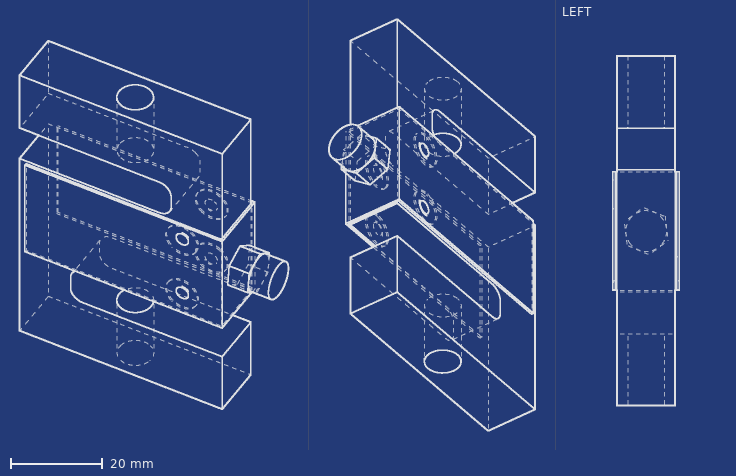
import cadquery as cq
import math

beam_length = 50.8
beam_height = 76.2
beam_thickness = 12.7
slot_height = 9.1
slot_corner_radius = 3.0
slot_depth = 38.0
arm_height = 15.7
arm_hole_diameter = 8.0

overall_thickness = 14.5
sheet_thickness = 0.5
cover_height = 25.8
cover_setback = 1.9

boss_diameter = 8.0
dimple_diameter = 7.5
dimple_inflection_diameter = 4.4
dimple_mouth_diameter = 3.1
boss_spacing = 16.0
boss_end_distance = 10.0

hex_width = 9.0
hex_length = 5.0
hex_vertex_angle = 83.0
barrel_diameter = 8.9
barrel_length = 5.0

beam_end = beam_length / 2
beam_face = beam_thickness / 2
cover_face = overall_thickness / 2
cover_end = beam_end + sheet_thickness
cover_start = -beam_end + cover_setback


def make_slot(side):
    """Rounded slot: side +1 is the upper one, open to -X; side -1 is the lower one, open to +X."""
    slot_z = side * (beam_height / 2 - arm_height - slot_height / 2)
    slot_x = -side * (beam_end - slot_depth / 2)
    return (
        cq.Workplane("XY")
        .box(slot_depth, beam_thickness, slot_height)
        .edges("|Y")
        .edges(">X" if side > 0 else "<X")
        .fillet(slot_corner_radius)
        .translate((slot_x, 0, slot_z))
    )


def make_arm_hole(side):
    """Vertical hole through the upper (+1) or lower (-1) arm."""
    arm_z = side * (beam_height - arm_height) / 2
    return (
        cq.Workplane("XY")
        .circle(arm_hole_diameter / 2)
        .extrude(arm_height / 2, both=True)
        .translate((0, 0, arm_z))
    )


def make_beam():
    body = cq.Workplane("XY").box(beam_length, beam_thickness, beam_height)
    for side in (1, -1):
        body = body.cut(make_slot(side)).cut(make_arm_hole(side))
    return body


def make_boss():
    """Round pad between the -Y cover side and the beam, centred on the Y axis."""
    gap = cover_face - sheet_thickness - beam_face
    return (
        cq.Workplane("XZ", origin=(0, -beam_face, 0))
        .circle(boss_diameter / 2)
        .extrude(gap)
    )


def make_dimple():
    """Round dimple from the -Y cover face to the beam; its S-shaped wall is tangent to both faces."""
    rim_radius = dimple_diameter / 2
    inflection_radius = dimple_inflection_diameter / 2
    mouth_radius = dimple_mouth_diameter / 2
    dimple_depth = cover_face - beam_face

    rim_share = (rim_radius - inflection_radius) / (rim_radius - mouth_radius)
    inflection = (inflection_radius, -cover_face + rim_share * dimple_depth)
    return (
        cq.Workplane("XY")
        .moveTo(0, -beam_face)
        .lineTo(mouth_radius, -beam_face)
        .tangentArcPoint(inflection, relative=False)
        .tangentArcPoint((rim_radius, -cover_face), relative=False)
        .lineTo(0, -cover_face)
        .close()
        .revolve(360, (0, 0, 0), (0, 1, 0))
    )


def make_cover():
    length = cover_end - cover_start
    middle_x = (cover_end + cover_start) / 2
    inside_width = overall_thickness - 2 * sheet_thickness
    channel = (
        cq.Workplane("XY")
        .box(length, inside_width, cover_height)
        .translate((middle_x - sheet_thickness, 0, 0))
    )
    body = (
        cq.Workplane("XY")
        .box(length, overall_thickness, cover_height)
        .translate((middle_x, 0, 0))
        .cut(channel)
    )
    boss = make_boss()
    dimple = make_dimple()
    for boss_z in (-boss_spacing / 2, boss_spacing / 2):
        place = (beam_end - boss_end_distance, 0, boss_z)
        body = body.union(boss.translate(place)).union(boss.mirror("XZ").translate(place))
        body = body.cut(dimple.translate(place)).cut(dimple.mirror("XZ").translate(place))
    return body


def make_connector():
    hex_corner_diameter = hex_width / math.cos(math.pi / 6)
    hexagon = (
        cq.Workplane("YZ")
        .polygon(6, hex_corner_diameter)
        .extrude(hex_length)
        .rotate((0, 0, 0), (1, 0, 0), hex_vertex_angle)
    )
    barrel = cq.Workplane("YZ").circle(barrel_diameter / 2).extrude(hex_length + barrel_length)
    return hexagon.union(barrel).translate((cover_end, 0, 0))


beam = make_beam().solids()
cover = make_cover().solids()
connector = make_connector().solids()

result = cq.Compound.makeCompound([beam.val(), cover.val(), connector.val()])